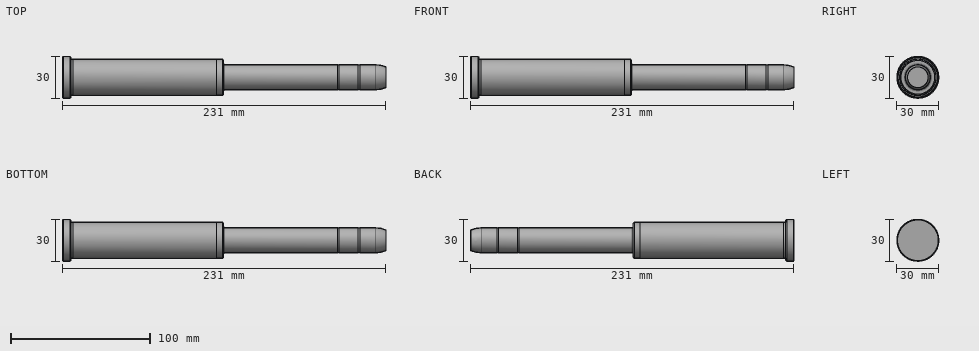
import cadquery as cq

TOTAL_LENGTH = 231.0
HEAD_DIAMETER = 30.0
HEAD_LENGTH = 6.0
HEAD_FRONT_CHAMFER = 0.5
HEAD_BACK_CHAMFER = 1.0
BODY_DIAMETER = 26.0
BODY_END = 115.0
BODY_CHAMFER = 1.0
SHAFT_DIAMETER = 18.0
SHAFT_ROOT_FILLET = 0.7

RELIEF_WIDTH = 1.5
RELIEF_DEPTH = 0.12

LEAD_LENGTH = 5.0
LEAD_DEPTH = 0.07

GROOVE_STARTS = (196.4, 211.1)
GROOVE_WIDTH = 1.2
GROOVE_DEPTH = 0.12

NOSE_LENGTH = 7.6
NOSE_TIP_DIAMETER = 14.8

head_radius = HEAD_DIAMETER / 2
body_radius = BODY_DIAMETER / 2
lead_radius = body_radius - LEAD_DEPTH
shaft_radius = SHAFT_DIAMETER / 2
tip_radius = NOSE_TIP_DIAMETER / 2


def cylinder(start, end, radius):
    """Solid cylinder on the X axis between two X positions."""
    return cq.Workplane("YZ").workplane(offset=start).circle(radius).extrude(end - start)


def ring_groove(start, width, outer_radius, depth):
    """Ring to cut from a cylinder of the given outer radius."""
    ring = cylinder(start, start + width, outer_radius)
    return ring.cut(cylinder(start, start + width, outer_radius - depth))


def make_shaft():
    """Shaft with a concave root fillet and a nose that curves in along a tangent arc."""
    nose_start = TOTAL_LENGTH - NOSE_LENGTH
    return (
        cq.Workplane("XY")
        .moveTo(0, 0)
        .lineTo(0, shaft_radius + SHAFT_ROOT_FILLET)
        .lineTo(BODY_END, shaft_radius + SHAFT_ROOT_FILLET)
        .radiusArc((BODY_END + SHAFT_ROOT_FILLET, shaft_radius), -SHAFT_ROOT_FILLET)
        .lineTo(nose_start, shaft_radius)
        .tangentArcPoint((TOTAL_LENGTH, tip_radius), relative=False)
        .lineTo(TOTAL_LENGTH, 0)
        .close()
        .revolve(360, (0, 0, 0), (1, 0, 0))
    )


head = cylinder(0, HEAD_LENGTH, head_radius)
head = head.faces("<X").edges().chamfer(HEAD_FRONT_CHAMFER)
head = head.faces(">X").edges().chamfer(HEAD_BACK_CHAMFER)

lead_start = BODY_END - LEAD_LENGTH
lead = cylinder(lead_start, BODY_END, lead_radius).faces(">X").edges().chamfer(BODY_CHAMFER)
body = cylinder(0, lead_start, body_radius).union(lead)

result = make_shaft().union(body).union(head)
result = result.cut(ring_groove(HEAD_LENGTH, RELIEF_WIDTH, body_radius, RELIEF_DEPTH))
for groove_start in GROOVE_STARTS:
    result = result.cut(ring_groove(groove_start, GROOVE_WIDTH, shaft_radius, GROOVE_DEPTH))